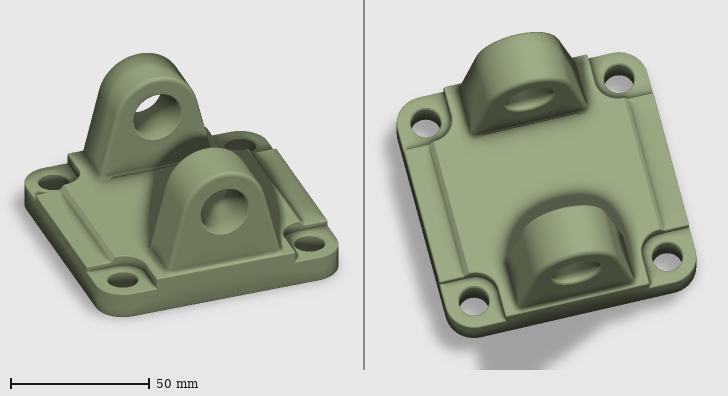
import cadquery as cq
import math

plate_side = 93.0
plate_height = 14.0
plate_corner_radius = 10.5
rim_radius = 0.5
half_side = plate_side / 2

tolerance = 0.1

hole_diameter = 11.0
mouth_chamfer = 0.5
hole_offset = half_side - plate_corner_radius
seat_height = 9.95
seat_side = 19.7
seat_radius = 8.4

strip_height = 12.0
strip_width = 9.0
strip_drop = plate_height - strip_height

lug_gap = 50.0
lug_thickness = 20.0
lug_angle = math.radians(14)
lug_edge_radius = 1.5
foot_radius = 1.5
bore_diameter = 18.0
bore_height = 36.0
overall_height = 52.0
lug_top_radius = overall_height - bore_height
lug_inner_x = lug_gap / 2

relief_width = 49.3
relief_length = 37.2
relief_corner_radius = 1.5


def plate():
    """Rounded square plate with corner seats and bevelled edge strips."""
    body = (
        cq.Workplane("XY")
        .rect(plate_side, plate_side)
        .extrude(plate_height)
        .edges("|Z")
        .fillet(plate_corner_radius)
    )
    for side in (-1, 1):
        strip = (
            cq.Workplane("YZ", origin=(-half_side, 0, 0))
            .moveTo(side * half_side, strip_height)
            .lineTo(side * (half_side - strip_width), strip_height)
            .lineTo(side * (half_side - strip_width - strip_drop), plate_height)
            .lineTo(side * half_side, plate_height)
            .close()
            .extrude(plate_side)
        )
        body = body.cut(strip)

    seats = (
        cq.Workplane("XY", origin=(0, 0, seat_height))
        .rect(plate_side, plate_side, forConstruction=True)
        .vertices()
        .rect(2 * seat_side, 2 * seat_side)
        .extrude(plate_height)
        .edges("|Z")
        .fillet(seat_radius)
    )
    return body.cut(seats)


def is_rim(edge):
    """Tell whether an edge is an upper edge of the plate, leaving out the seat floors' inner edges."""
    middle = edge.Center()
    near_outline = max(abs(middle.x), abs(middle.y)) > half_side - seat_side / 4
    vertical = edge.BoundingBox().xlen + edge.BoundingBox().ylen < tolerance
    if near_outline:
        return middle.z > seat_height - tolerance
    return middle.z > seat_height + tolerance and not vertical


def round_rims(body):
    """Round the bottom outline, the upper outlines and the strip edges."""
    body = body.faces("<Z").edges().fillet(rim_radius)
    return body.newObject(body.edges().vals()).filter(is_rim).fillet(rim_radius)


def lug(side):
    """One tapered lug with a round top, its edges rounded on both faces."""
    tangent_y = lug_top_radius * math.cos(lug_angle)
    tangent_z = bore_height + lug_top_radius * math.sin(lug_angle)
    foot_z = seat_height
    foot_y = tangent_y + (tangent_z - foot_z) * math.tan(lug_angle)
    start_x = lug_inner_x if side > 0 else -lug_inner_x - lug_thickness
    return (
        cq.Workplane("YZ", origin=(start_x, 0, 0))
        .moveTo(-foot_y, foot_z)
        .lineTo(-tangent_y, tangent_z)
        .threePointArc((0, overall_height), (tangent_y, tangent_z))
        .lineTo(foot_y, foot_z)
        .close()
        .extrude(lug_thickness)
        .faces("<X or >X")
        .edges("not(<Z)")
        .fillet(lug_edge_radius)
    )


def blend_lug_feet(body):
    """Blend the lugs into the plate, then mill the blend away between them."""
    feet_x = half_side - rim_radius
    feet_y = half_side - seat_side - rim_radius
    feet = cq.selectors.BoxSelector(
        (-feet_x, -feet_y, plate_height - tolerance),
        (feet_x, feet_y, plate_height + tolerance),
        boundingbox=True,
    )
    body = body.edges(feet).fillet(foot_radius)
    relief = (
        cq.Workplane("XY", origin=(0, 0, plate_height))
        .rect(relief_width, relief_length)
        .extrude(overall_height)
        .edges("|Z")
        .fillet(relief_corner_radius)
    )
    return body.cut(relief)


def drill_mounting_holes(body):
    """Drill a through hole in each corner seat and chamfer its upper mouth."""
    mouth = cq.Solid.makeCone(
        hole_diameter / 2,
        hole_diameter / 2 + mouth_chamfer,
        mouth_chamfer,
        pnt=cq.Vector(0, 0, seat_height - mouth_chamfer),
    )
    drill = cq.Workplane("XY").circle(hole_diameter / 2).extrude(seat_height).union(mouth)
    for x in (-hole_offset, hole_offset):
        for y in (-hole_offset, hole_offset):
            body = body.cut(drill.translate((x, y, 0)))
    return body


def drill_pin_bore(body):
    """Drill the pin bore through both lugs and chamfer its four mouths."""
    bore = (
        cq.Workplane("YZ", origin=(-half_side, 0, 0))
        .center(0, bore_height)
        .circle(bore_diameter / 2)
        .extrude(plate_side)
    )
    body = body.cut(bore)
    reach = bore_diameter / 2 + tolerance
    mouths = cq.selectors.BoxSelector(
        (-half_side, -reach, bore_height - reach),
        (half_side, reach, bore_height + reach),
        boundingbox=True,
    )
    return body.edges("%CIRCLE").edges(mouths).chamfer(mouth_chamfer)


result = round_rims(plate())
result = result.union(lug(-1)).union(lug(1))
result = blend_lug_feet(result)
result = drill_mounting_holes(result)
result = drill_pin_bore(result)